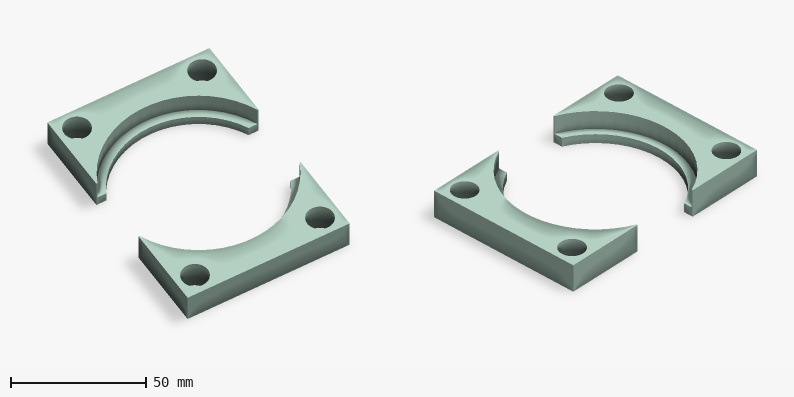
import cadquery as cq

length = 100.0
width = 70.0
thickness = 12.0
gap = 30.0

bore_diameter = 68.4
seat_diameter = 75.3
ledge_thickness = 4.0

hole_diameter = 11.0
hole_inset = 8.0

half_length = (length - gap) / 2
half_center = (length - half_length) / 2
hole_x = length / 2 - hole_inset
hole_y = width / 2 - hole_inset


def cylinder(diameter, bottom, top):
    """Upright cylinder on the shared centre axis."""
    return cq.Workplane("XY").workplane(offset=bottom).circle(diameter / 2).extrude(top - bottom)


def clamp_half(side):
    """One clamp half; side is -1 for the -X half and +1 for the +X half."""
    block = (
        cq.Workplane("XY")
        .center(side * half_center, 0)
        .rect(half_length, width)
        .extrude(thickness)
    )

    block = block.cut(cylinder(bore_diameter, 0, thickness))
    block = block.cut(cylinder(seat_diameter, ledge_thickness, thickness))

    bolt_holes = (
        cq.Workplane("XY")
        .pushPoints([(side * hole_x, -hole_y), (side * hole_x, hole_y)])
        .circle(hole_diameter / 2)
        .extrude(thickness)
    )
    return block.cut(bolt_holes)


clamp_halves = [clamp_half(side).val() for side in (-1, 1)]

result = cq.Compound.makeCompound(clamp_halves)